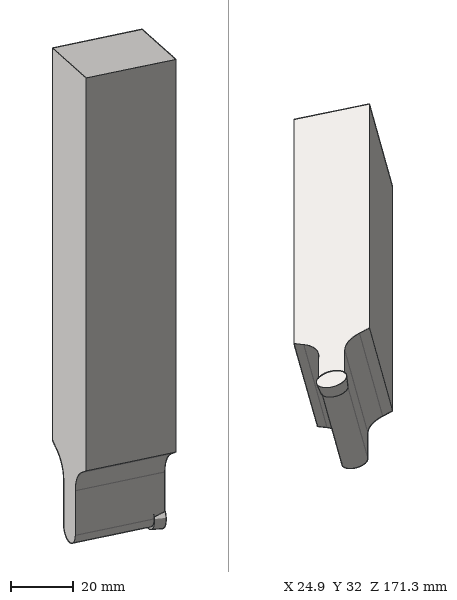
import cadquery as cq
import math

insert_diameter = 10.0
insert_radius = insert_diameter / 2
insert_thickness = 3.97
relief_angle = 7.0
insert_overhang = 0.15

overall_length = 171.35
overall_depth = 32.0
holder_depth = overall_depth - insert_overhang
shank_width = 24.88
side_taper = 0.15
shank_length = 139.2
blade_width = 8.6
blade_radius = blade_width / 2
blade_axis_x = shank_width / 2
nose_rise = 0.75
shoulder_angle = 31.0
shoulder_fillet = 10.0

insert_z = insert_radius
nose_z = insert_z + nose_rise
shoulder_z = overall_length - shank_length


def make_insert():
    """Tapered round disc, rake face towards +Y."""
    back_radius = insert_radius - insert_thickness * math.tan(math.radians(relief_angle))
    rake_y = overall_depth
    back_y = rake_y - insert_thickness
    return (
        cq.Workplane("XY")
        .moveTo(0, back_y)
        .lineTo(back_radius, back_y)
        .lineTo(insert_radius, rake_y)
        .lineTo(0, rake_y)
        .close()
        .revolve(360, (0, 0), (0, 1))
        .translate((blade_axis_x, 0, insert_z))
    )


def make_holder(seated_insert):
    """Shank and round-nosed blade, with a seat for the insert."""
    blade_left = blade_axis_x - blade_radius
    blade_right = blade_axis_x + blade_radius
    slope = math.tan(math.radians(shoulder_angle))
    root_z = shoulder_z - blade_left * slope
    profile = (
        cq.Workplane("XZ")
        .moveTo(0, overall_length)
        .lineTo(0, shoulder_z)
        .lineTo(blade_left, root_z)
        .lineTo(blade_left, nose_z)
        .threePointArc((blade_axis_x, nose_z - blade_radius), (blade_right, nose_z))
        .lineTo(blade_right, root_z)
        .lineTo(shank_width, shoulder_z)
        .lineTo(shank_width, overall_length)
        .close()
    )
    body = profile.extrude(-holder_depth)

    margin = 1.0
    root_zone = cq.selectors.BoxSelector(
        (blade_left - margin, 0, root_z - margin),
        (blade_right + margin, holder_depth, root_z + margin),
    )
    body = body.edges("|Y").edges(root_zone).fillet(shoulder_fillet)

    side_wedge = (
        cq.Workplane("XY")
        .moveTo(shank_width, holder_depth)
        .lineTo(shank_width - side_taper, 0)
        .lineTo(shank_width, 0)
        .close()
        .extrude(overall_length)
    )
    return body.cut(side_wedge).cut(seated_insert)


insert = make_insert()
holder = make_holder(insert)

result = cq.Compound.makeCompound([holder.val(), insert.val()])